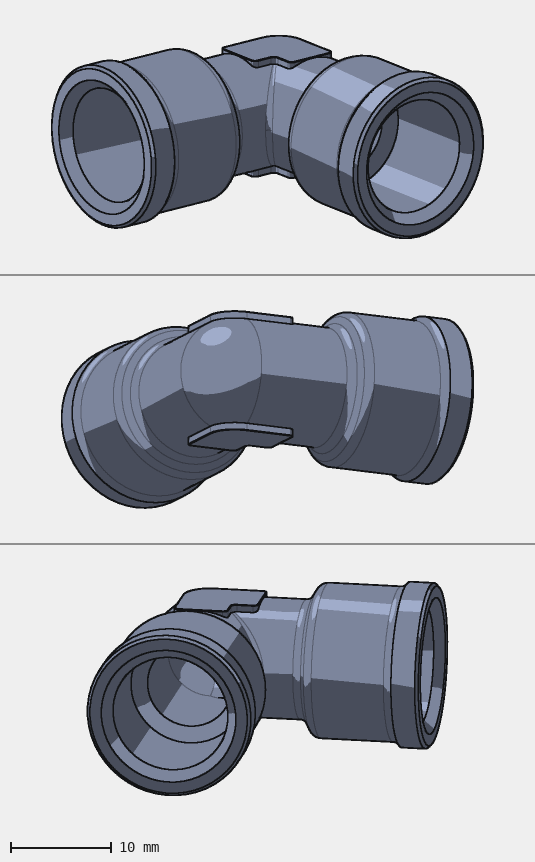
import cadquery as cq
import math

COLLAR_DIAMETER = 16.5
BODY_DIAMETER = 15.5
NECK_DIAMETER = 12.0
BORE_DIAMETER = 8.5
SOCKET_DIAMETER = 11.6
MOUTH_DIAMETER = 13.6
OVERALL_LENGTH = 30.75

COLLAR_RADIUS = COLLAR_DIAMETER / 2
BODY_RADIUS = BODY_DIAMETER / 2
NECK_RADIUS = NECK_DIAMETER / 2
BORE_RADIUS = BORE_DIAMETER / 2
SOCKET_RADIUS = SOCKET_DIAMETER / 2
MOUTH_RADIUS = MOUTH_DIAMETER / 2
ARM_LENGTH = OVERALL_LENGTH - COLLAR_RADIUS

SHOULDER_START = 10.02
SHOULDER_ANGLE = 60.0
SHOULDER_FILLET = 1.0
SHOULDER_END = SHOULDER_START + (BODY_RADIUS - NECK_RADIUS) / math.tan(math.radians(SHOULDER_ANGLE))
COLLAR_LENGTH = 2.7
COLLAR_START = ARM_LENGTH - COLLAR_LENGTH
COLLAR_BLEND = 1.0
COLLAR_CHAMFER = 0.3
CROTCH_FILLET = 0.5

SOCKET_DEPTH = 10.75
SOCKET_FLOOR_ANGLE = 68.0
MOUTH_CHAMFER_ANGLE = 45.0

PAD_HALF_WIDTH = 2.7
PAD_REACH = 5.3
PAD_HEIGHT = 6.1
PAD_CORNER = 0.5
PAD_EDGE_CHAMFER = 0.05


def place_on_arms(shape):
    """Union of one +Z shape turned onto both arms."""
    along_x = shape.rotate((0, 0, 0), (0, 1, 0), 90)
    along_y = shape.rotate((0, 0, 0), (1, 0, 0), 90)
    return along_x.union(along_y)


def elbow_blank(radius, length):
    """Two cylinders meeting at the origin, with a ball rounding the outer corner."""
    arms = place_on_arms(cq.Workplane("XY").circle(radius).extrude(length))
    return arms.union(cq.Workplane("XY").sphere(radius))


def necks():
    """Outer elbow with its inner seam rounded."""
    elbow = elbow_blank(NECK_RADIUS, SHOULDER_START)
    seam_box = cq.selectors.BoxSelector(
        (0, 0, -COLLAR_RADIUS),
        (NECK_RADIUS, -NECK_RADIUS, COLLAR_RADIUS),
    )
    return elbow.edges(seam_box).fillet(CROTCH_FILLET)


def socket_body():
    """Shoulder, body and collar of one arm, turned about Z."""
    slope = math.radians(SHOULDER_ANGLE)
    shoulder_run = SHOULDER_FILLET * math.tan(slope / 2)
    radial_run = shoulder_run * math.sin(slope)
    axial_run = shoulder_run * math.cos(slope)
    arc_middle_rise = SHOULDER_FILLET * (1 - math.cos(slope / 2))
    arc_middle_length = SHOULDER_FILLET * math.sin(slope / 2)
    arc_start = SHOULDER_START - shoulder_run
    arc_end = SHOULDER_END + shoulder_run
    hollow_middle = (NECK_RADIUS + arc_middle_rise, arc_start + arc_middle_length)
    hollow_end = (NECK_RADIUS + radial_run, SHOULDER_START + axial_run)
    round_start = (BODY_RADIUS - radial_run, SHOULDER_END - axial_run)
    round_middle = (BODY_RADIUS - arc_middle_rise, arc_end - arc_middle_length)
    collar_rise = COLLAR_RADIUS - BODY_RADIUS
    blend_length = math.sqrt(COLLAR_BLEND**2 - (COLLAR_BLEND - collar_rise) ** 2)
    profile = (
        cq.Workplane("XZ")
        .moveTo(0, arc_start)
        .lineTo(NECK_RADIUS, arc_start)
        .threePointArc(hollow_middle, hollow_end)
        .lineTo(*round_start)
        .threePointArc(round_middle, (BODY_RADIUS, arc_end))
        .lineTo(BODY_RADIUS, COLLAR_START - blend_length)
        .radiusArc((COLLAR_RADIUS, COLLAR_START), COLLAR_BLEND)
        .lineTo(COLLAR_RADIUS, ARM_LENGTH - COLLAR_CHAMFER)
        .lineTo(COLLAR_RADIUS - COLLAR_CHAMFER, ARM_LENGTH)
        .lineTo(0, ARM_LENGTH)
        .close()
    )
    return profile.revolve(360, (0, 0), (0, 1))


def socket_cavity():
    """Lead-in, straight socket and conical floor of one arm, turned about Z."""
    lead_in = (MOUTH_RADIUS - SOCKET_RADIUS) / math.tan(math.radians(MOUTH_CHAMFER_ANGLE))
    floor_run = (SOCKET_RADIUS - BORE_RADIUS) / math.tan(math.radians(SOCKET_FLOOR_ANGLE))
    socket_end = ARM_LENGTH - SOCKET_DEPTH
    profile = (
        cq.Workplane("XZ")
        .moveTo(0, socket_end - floor_run)
        .lineTo(BORE_RADIUS, socket_end - floor_run)
        .lineTo(SOCKET_RADIUS, socket_end)
        .lineTo(SOCKET_RADIUS, ARM_LENGTH - lead_in)
        .lineTo(MOUTH_RADIUS, ARM_LENGTH)
        .lineTo(0, ARM_LENGTH)
        .close()
    )
    return profile.revolve(360, (0, 0), (0, 1))


def pads():
    """L-shaped block whose ends stand just proud of the necks at top and bottom."""
    outline = (
        cq.Workplane("XY", origin=(0, 0, -PAD_HEIGHT))
        .moveTo(-PAD_HALF_WIDTH, -PAD_REACH)
        .lineTo(-PAD_HALF_WIDTH, 0)
        .radiusArc((0, PAD_HALF_WIDTH), PAD_HALF_WIDTH)
        .lineTo(PAD_REACH, PAD_HALF_WIDTH)
        .lineTo(PAD_REACH, -PAD_HALF_WIDTH)
        .lineTo(PAD_HALF_WIDTH, -PAD_HALF_WIDTH)
        .lineTo(PAD_HALF_WIDTH, -PAD_REACH)
        .close()
    )
    block = outline.extrude(2 * PAD_HEIGHT)
    rounded_corners = [
        (-PAD_HALF_WIDTH, -PAD_REACH),
        (PAD_HALF_WIDTH, -PAD_REACH),
        (PAD_REACH, -PAD_HALF_WIDTH),
        (PAD_REACH, PAD_HALF_WIDTH),
        (PAD_HALF_WIDTH, -PAD_HALF_WIDTH),
    ]
    for x, y in rounded_corners:
        block = block.edges(cq.selectors.NearestToPointSelector((x, y, 0))).fillet(PAD_CORNER)
    return block.faces("|Z").edges().chamfer(PAD_EDGE_CHAMFER)


outside = necks().union(place_on_arms(socket_body())).union(pads())
inside = elbow_blank(BORE_RADIUS, ARM_LENGTH).union(place_on_arms(socket_cavity()))
result = outside.cut(inside)